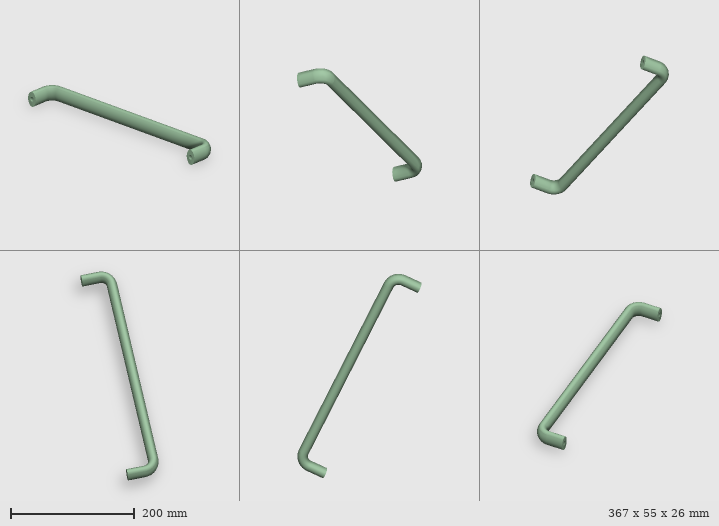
import cadquery as cq
import math

LENGTH = 367.0
REACH = 55.0

OVAL_WIDTH = 17.0
OVAL_HEIGHT = 26.0
TIP_RADIUS = 6.0

BEND_OUTER_RADIUS = 26.0

HOLE_DIAMETER = 6.65
HOLE_DEPTH = 15.0
HOLE_MOUTH_DIAMETER = 8.0
DRILL_POINT_ANGLE = 118.0

HALF_WIDTH = OVAL_WIDTH / 2
HALF_HEIGHT = OVAL_HEIGHT / 2
LEG_X = LENGTH / 2 - HALF_WIDTH
BAR_Y = REACH - HALF_WIDTH
BEND_RADIUS = BEND_OUTER_RADIUS - HALF_WIDTH


def oval_arc_joint():
    """Return the point where the +X side arc meets the upper tip arc."""
    tip_center = HALF_HEIGHT - TIP_RADIUS
    side_radius = (HALF_WIDTH**2 + tip_center**2 - TIP_RADIUS**2) / (2 * (HALF_WIDTH - TIP_RADIUS))
    angle = math.atan2(tip_center, side_radius - HALF_WIDTH)
    joint_x = TIP_RADIUS * math.cos(angle)
    joint_z = tip_center + TIP_RADIUS * math.sin(angle)
    return joint_x, joint_z


def centreline():
    """Path up the left leg, along the bar and down the right leg."""
    bend_x = LEG_X - BEND_RADIUS
    bend_y = BAR_Y - BEND_RADIUS
    return (
        cq.Workplane("XY")
        .moveTo(-LEG_X, 0)
        .lineTo(-LEG_X, bend_y)
        .tangentArcPoint((-bend_x, BAR_Y), relative=False)
        .lineTo(bend_x, BAR_Y)
        .tangentArcPoint((LEG_X, bend_y), relative=False)
        .lineTo(LEG_X, 0)
    )


def bent_bar():
    """Sweep the oval section along the centreline."""
    joint_x, joint_z = oval_arc_joint()
    section = (
        cq.Workplane("XZ", origin=(-LEG_X, 0, 0))
        .moveTo(joint_x, joint_z)
        .threePointArc((0, HALF_HEIGHT), (-joint_x, joint_z))
        .threePointArc((-HALF_WIDTH, 0), (-joint_x, -joint_z))
        .threePointArc((0, -HALF_HEIGHT), (joint_x, -joint_z))
        .threePointArc((HALF_WIDTH, 0), (joint_x, joint_z))
        .close()
    )
    return section.sweep(centreline())


def drilled_hole(leg_x):
    """Blind hole along +Y from the leg end, with a chamfered mouth and a conical drill point."""
    hole_radius = HOLE_DIAMETER / 2
    mouth_radius = HOLE_MOUTH_DIAMETER / 2
    chamfer = mouth_radius - hole_radius
    point_length = hole_radius / math.tan(math.radians(DRILL_POINT_ANGLE / 2))
    return (
        cq.Workplane("XY", origin=(leg_x, 0, 0))
        .lineTo(mouth_radius, 0)
        .lineTo(hole_radius, chamfer)
        .lineTo(hole_radius, HOLE_DEPTH)
        .lineTo(0, HOLE_DEPTH + point_length)
        .close()
        .revolve(360, (0, 0), (0, 1))
    )


result = bent_bar()
for leg_x in (-LEG_X, LEG_X):
    result = result.cut(drilled_hole(leg_x))